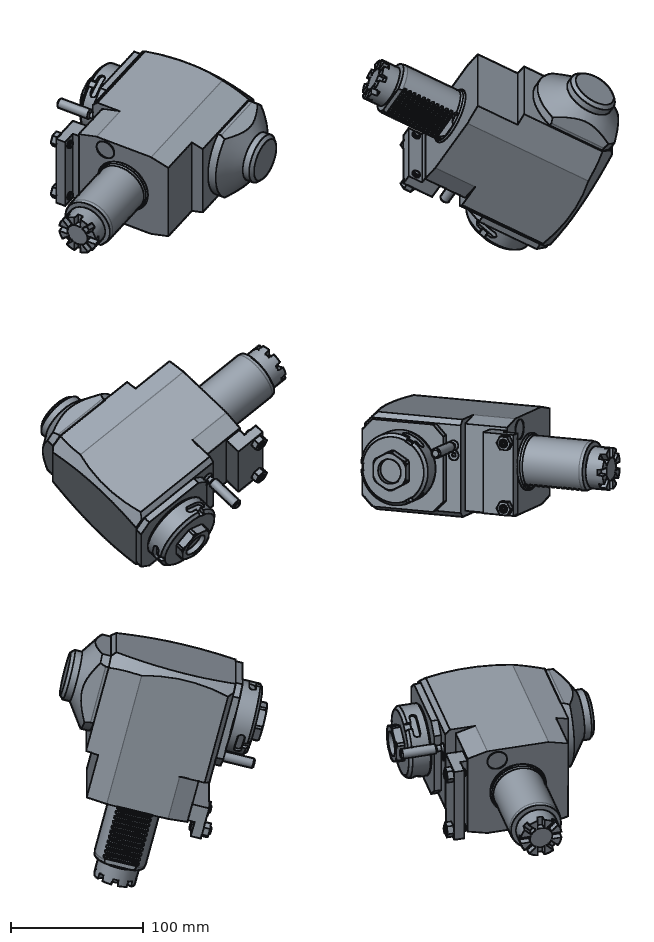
import cadquery as cq
import math


HALF_HEIGHT = 37.5
BACK_Y = 113.8
STEP_Y = 34.8
FRONT_HALF_WIDTH = 39.1
LEFT_X = -47.3
RIGHT_X = 48.6
TAPER_START = 23.8
TAPER = math.tan(math.radians(15))
LEFT_CHAMFER = 3.8
RIGHT_CHAMFER = 3.3
TURNING_X = -9.8
TURNING_RADIUS = 127.4
TURNING_CREST_Y = 110.0
MARK_X = -16.0
MARK_Z = 27.7
MARK_RADIUS = 7.6
MARK_DEPTH = 0.5

SPINDLE_Y = 80.0
PLATE_SIDE = 67.0
PLATE_CORNER = 8.4
PLATE_X = -52.8
CHUCK_RADIUS = 27.7
CHUCK_BACK_X = -53.7
CHUCK_FRONT_X = -70.3
CHUCK_BEVEL = 2.4
CHUCK_NECK_RADIUS = 26.8
WRENCH_SLOT_X = -62.2
WRENCH_SLOT_WIDTH = 5.5
WRENCH_SLOT_LENGTH = 18.7
WRENCH_SLOT_DEPTH = 4.0
WRENCH_NOTCH_WIDTH = 5.5
WRENCH_NOTCH_DEPTH = 3.0
HEX_FLATS = 27.0
HEX_FRONT_X = -77.0
HEX_CORNER_RADIUS = 15.0
HEX_BEVEL = 1.0
HEX_BORE_RADIUS = 9.5
HEX_BORE_DEPTH = 4.5

PIN_Y = 40.5
PIN_Z = 17.8
PIN_RADIUS = 3.8
PIN_TIP_X = -80.5
PIN_BACK_X = -52.6
PIN_BEVEL = 1.1
PIN_NECK_RADIUS = 2.4
BALL_RADIUS = 4.2
BALL_X = LEFT_X + 1.6
PLUG_Z = 10.4
PLUG_RADIUS = 4.0
PLUG_RECESS = 0.4
PLUG_BORE_RADIUS = 1.5
PLUG_BORE_DEPTH = 1.8

CAP_RADIUS = HALF_HEIGHT
CAP_CONE_X = 55.3
CAP_HUB_X = 68.2
CAP_END_X = 76.5
CAP_HUB_RADIUS = 19.3
CAP_HUB_BEVEL = 2.7
CAP_HALF_HEIGHT = 29.7
CAP_BACK_FLAT = 29.8
CAP_TAPER_X = 51.1

COLLAR_RADIUS = 21.8
COLLAR_EDGE_RADIUS = 20.7
COLLAR_LENGTH = 2.0
SHANK_RADIUS = 20.0
SHANK_START = 3.8
SHANK_END = 53.1
SHANK_BEVEL_LENGTH = 3.0
SHANK_BEVEL_DEPTH = 0.5
NECK_RADIUS = 13.0
COLLET_START = 54.2
TOTAL_LENGTH = 182.0
COLLET_END = TOTAL_LENGTH - BACK_Y
COLLET_RADIUS = 16.0
RACK_FLAT_Z = -15.8
RACK_FLAT_END = 2.2
RACK_PITCH = 4.0
RACK_DEPTH = 1.3
RACK_MOUTH = 3.3
RACK_FLOOR = 1.5
RACK_GROOVES = 12
RACK_LAST_GROOVE = 47.9
COLLET_SLOTS = 8
COLLET_SLOT_DEPTH = 4.5
COLLET_SLOT_MOUTH = 5.1
COLLET_SLOT_FLOOR = 4.0
COLLET_CORE_RADIUS = 8.7

BRACKET_X = -52.5
BRACKET_ARM_X = -44.5
BRACKET_HALF_HEIGHT = 31.1
BRACKET_BACK_Y = 13.8
BRACKET_INNER_Y = 0.5
BRACKET_FRONT_Y = -11.1
SCREW_Y = -5.1
SCREW_Z = 25.1
SCREW_RADIUS = 3.1
SCREW_BEVEL = 0.7
SCREW_FRONT_X = -58.6
SCREW_BACK_X = -42.4
SCREW_SOCKET_FLATS = 3.0
SCREW_SOCKET_DEPTH = 2.2
NUT_FLATS = 10.0
NUT_FRONT_X = -57.3


def cylinder_x(radius, x_start, x_end, y, z):
    """Cylinder along X."""
    plane = cq.Workplane("YZ", origin=(x_start, y, z))
    return plane.circle(radius).extrude(x_end - x_start)


def hexagon_x(flats, x_start, x_end, y, z, turn):
    """Hexagonal prism along X; a turn of 0 puts corners on the Y axis."""
    plane = cq.Workplane("YZ", origin=(x_start, y, z))
    corners = flats / math.cos(math.pi / 6)
    prism = plane.polygon(6, corners).extrude(x_end - x_start)
    return prism.rotate((0, y, z), (1, y, z), turn)


def revolve_x(profile, y, z):
    """Turn a closed (x, radius) outline about the X-parallel line through y, z."""
    plane = cq.Workplane("XY", origin=(0, y, z))
    return plane.polyline(profile).close().revolve(360, (0, 0, 0), (1, 0, 0))


def prism_y(outline, y_start, y_end):
    """Extrude a closed (x, z) outline along Y."""
    plane = cq.Workplane("XZ", origin=(0, y_start, 0))
    return plane.polyline(outline).close().extrude(y_start - y_end)


def turned_bevel():
    """Double cone about a Z axis that rounds the rear of the housing at 45 degrees."""
    axis_y = TURNING_CREST_Y - TURNING_RADIUS
    waist = TURNING_RADIUS + HALF_HEIGHT
    profile = [(0, -HALF_HEIGHT), (TURNING_RADIUS, -HALF_HEIGHT), (waist, 0),
               (TURNING_RADIUS, HALF_HEIGHT), (0, HALF_HEIGHT)]
    plane = cq.Workplane("XZ", origin=(TURNING_X, axis_y, 0))
    return plane.polyline(profile).close().revolve(360, (0, 0, 0), (0, 1, 0))


def housing():
    front_top = HALF_HEIGHT - (FRONT_HALF_WIDTH - TAPER_START) * TAPER
    front = prism_y([
        (-FRONT_HALF_WIDTH, -front_top), (-TAPER_START, -HALF_HEIGHT),
        (TAPER_START, -HALF_HEIGHT), (FRONT_HALF_WIDTH, -front_top),
        (FRONT_HALF_WIDTH, front_top), (TAPER_START, HALF_HEIGHT),
        (-TAPER_START, HALF_HEIGHT), (-FRONT_HALF_WIDTH, front_top),
    ], 0, STEP_Y)

    left_top = HALF_HEIGHT - LEFT_CHAMFER
    right_top = HALF_HEIGHT - (RIGHT_X - TAPER_START) * TAPER
    rear = prism_y([
        (LEFT_X, -left_top), (LEFT_X + LEFT_CHAMFER, -HALF_HEIGHT),
        (TAPER_START, -HALF_HEIGHT), (RIGHT_X, -right_top),
        (RIGHT_X, right_top), (TAPER_START, HALF_HEIGHT),
        (LEFT_X + LEFT_CHAMFER, HALF_HEIGHT), (LEFT_X, left_top),
    ], STEP_Y, BACK_Y)
    rear = rear.edges(cq.selectors.NearestToPointSelector((RIGHT_X, BACK_Y, 0))).chamfer(RIGHT_CHAMFER)

    mark = cq.Workplane("XZ", origin=(MARK_X, 0, MARK_Z)).circle(MARK_RADIUS).extrude(-MARK_DEPTH)
    return front.union(rear.intersect(turned_bevel())).cut(mark)


def plate():
    block = cq.Workplane("YZ", origin=(PLATE_X, SPINDLE_Y, 0)).rect(PLATE_SIDE, PLATE_SIDE)
    return block.extrude(LEFT_X - PLATE_X).edges("|X").chamfer(PLATE_CORNER)


def wrench_slot(angle):
    """Oval pocket in the chuck rim, opened to the front by a narrow notch."""
    floor = CHUCK_RADIUS - WRENCH_SLOT_DEPTH
    oval = cq.Workplane("XY", origin=(WRENCH_SLOT_X, 0, floor))
    oval = oval.slot2D(WRENCH_SLOT_LENGTH, WRENCH_SLOT_WIDTH, 90).extrude(CHUCK_RADIUS)
    notch_length = WRENCH_SLOT_X - CHUCK_FRONT_X
    notch = cq.Workplane("XY").box(notch_length, WRENCH_NOTCH_WIDTH, CHUCK_RADIUS, (False, True, False))
    notch = notch.translate((CHUCK_FRONT_X, 0, CHUCK_RADIUS - WRENCH_NOTCH_DEPTH))
    cutter = oval.union(notch).rotate((0, 0, 0), (1, 0, 0), angle)
    return cutter.translate((0, SPINDLE_Y, 0))


def chuck():
    body = revolve_x([
        (PLATE_X, 0), (PLATE_X, CHUCK_NECK_RADIUS),
        (CHUCK_BACK_X, CHUCK_NECK_RADIUS), (CHUCK_BACK_X, CHUCK_RADIUS),
        (CHUCK_FRONT_X + CHUCK_BEVEL, CHUCK_RADIUS),
        (CHUCK_FRONT_X, CHUCK_RADIUS - CHUCK_BEVEL), (CHUCK_FRONT_X, 0),
    ], SPINDLE_Y, 0)
    for angle in (30, 150, 270):
        body = body.cut(wrench_slot(angle))
    nut = hexagon_x(HEX_FLATS, HEX_FRONT_X, CHUCK_FRONT_X, SPINDLE_Y, 0, 90)
    blank = cylinder_x(HEX_CORNER_RADIUS, HEX_FRONT_X, CHUCK_FRONT_X, SPINDLE_Y, 0)
    nut = nut.intersect(blank.faces("<X").chamfer(HEX_BEVEL))
    bore = cylinder_x(HEX_BORE_RADIUS, HEX_FRONT_X, HEX_FRONT_X + HEX_BORE_DEPTH, SPINDLE_Y, 0)
    return body.union(nut).cut(bore)


def coolant_pin():
    pin = revolve_x([
        (PIN_TIP_X, 0), (PIN_TIP_X, PIN_RADIUS - PIN_BEVEL),
        (PIN_TIP_X + PIN_BEVEL, PIN_RADIUS), (PIN_BACK_X - PIN_BEVEL, PIN_RADIUS),
        (PIN_BACK_X, PIN_NECK_RADIUS), (BALL_X, PIN_NECK_RADIUS), (BALL_X, 0),
    ], PIN_Y, PIN_Z)
    ball = cq.Workplane("XY", origin=(BALL_X, PIN_Y, PIN_Z)).sphere(BALL_RADIUS)
    return pin.union(ball)


def plug_recess():
    """Shallow seat of the coolant plug with the bore at its centre."""
    seat = cylinder_x(PLUG_RADIUS, LEFT_X, LEFT_X + PLUG_RECESS, PIN_Y, PLUG_Z)
    return seat.union(cylinder_x(PLUG_BORE_RADIUS, LEFT_X, LEFT_X + PLUG_BORE_DEPTH, PIN_Y, PLUG_Z))


def end_cap():
    cap = revolve_x([
        (RIGHT_X, 0), (RIGHT_X, CAP_RADIUS), (CAP_CONE_X, CAP_RADIUS),
        (CAP_HUB_X, CAP_HUB_RADIUS), (CAP_END_X - CAP_HUB_BEVEL, CAP_HUB_RADIUS),
        (CAP_END_X, CAP_HUB_RADIUS - CAP_HUB_BEVEL), (CAP_END_X, 0),
    ], SPINDLE_Y, 0)
    end_height = CAP_HALF_HEIGHT - (CAP_END_X - CAP_TAPER_X) * TAPER
    envelope = prism_y([
        (RIGHT_X, -CAP_HALF_HEIGHT), (CAP_TAPER_X, -CAP_HALF_HEIGHT),
        (CAP_END_X, -end_height), (CAP_END_X, end_height),
        (CAP_TAPER_X, CAP_HALF_HEIGHT), (RIGHT_X, CAP_HALF_HEIGHT),
    ], SPINDLE_Y - CAP_RADIUS, SPINDLE_Y + CAP_BACK_FLAT)
    return cap.intersect(envelope)


def rack_cutter():
    """Flat along the underside of the shank, with a row of trapezoidal grooves."""
    below = RACK_FLAT_Z - COLLAR_RADIUS
    run_out = RACK_FLAT_Z + SHANK_RADIUS
    flat = [(-SHANK_END, RACK_FLAT_Z), (-RACK_FLAT_END - run_out, RACK_FLAT_Z),
            (-RACK_FLAT_END, -SHANK_RADIUS), (-RACK_FLAT_END, below), (-SHANK_END, below)]
    side = cq.Workplane("YZ", origin=(-SHANK_RADIUS, 0, 0))
    cutter = side.polyline(flat).close().extrude(2 * SHANK_RADIUS)
    for index in range(RACK_GROOVES):
        y = -RACK_LAST_GROOVE + index * RACK_PITCH
        groove = [(y - RACK_MOUTH / 2, RACK_FLAT_Z), (y - RACK_FLOOR / 2, RACK_FLAT_Z + RACK_DEPTH),
                  (y + RACK_FLOOR / 2, RACK_FLAT_Z + RACK_DEPTH), (y + RACK_MOUTH / 2, RACK_FLAT_Z)]
        cutter = cutter.union(side.polyline(groove).close().extrude(2 * SHANK_RADIUS))
    return cutter


def collet_slot(angle):
    """Radial drive slot, wider at its mouth, in the end face of the collet nut."""
    floor = -COLLET_END + COLLET_SLOT_DEPTH
    section = [(-COLLET_SLOT_MOUTH / 2, -COLLET_END), (COLLET_SLOT_MOUTH / 2, -COLLET_END),
               (COLLET_SLOT_FLOOR / 2, floor), (-COLLET_SLOT_FLOOR / 2, floor)]
    slot = cq.Workplane("XY").polyline(section).close().extrude(2 * COLLET_RADIUS)
    return slot.rotate((0, 0, 0), (0, 1, 0), angle)


def shank():
    collar_mid = (COLLAR_RADIUS, -COLLAR_LENGTH / 2)
    profile = (
        cq.Workplane("XY")
        .lineTo(COLLAR_EDGE_RADIUS, 0)
        .threePointArc(collar_mid, (COLLAR_EDGE_RADIUS, -COLLAR_LENGTH))
        .lineTo(SHANK_RADIUS, -SHANK_START)
        .lineTo(SHANK_RADIUS, -SHANK_END + SHANK_BEVEL_LENGTH)
        .lineTo(SHANK_RADIUS - SHANK_BEVEL_DEPTH, -SHANK_END)
        .lineTo(NECK_RADIUS, -SHANK_END)
        .lineTo(NECK_RADIUS, -COLLET_START)
        .lineTo(0, -COLLET_START)
        .close()
    )
    body = profile.revolve(360, (0, 0, 0), (0, 1, 0)).cut(rack_cutter())

    collet = cq.Workplane("XZ", origin=(0, -COLLET_START, 0)).circle(COLLET_RADIUS)
    collet = collet.extrude(COLLET_END - COLLET_START)
    for index in range(COLLET_SLOTS):
        collet = collet.cut(collet_slot(index * 360 / COLLET_SLOTS))
    core = cq.Workplane("XZ", origin=(0, -COLLET_START, 0)).circle(COLLET_CORE_RADIUS)
    return body.union(collet).union(core.extrude(COLLET_END - COLLET_START))


def bracket():
    outline = [(-FRONT_HALF_WIDTH, BRACKET_BACK_Y), (BRACKET_X, BRACKET_BACK_Y),
               (BRACKET_X, BRACKET_FRONT_Y), (BRACKET_ARM_X, BRACKET_FRONT_Y),
               (BRACKET_ARM_X, BRACKET_INNER_Y), (-FRONT_HALF_WIDTH, BRACKET_INNER_Y)]
    plane = cq.Workplane("XY", origin=(0, 0, -BRACKET_HALF_HEIGHT))
    return plane.polyline(outline).close().extrude(2 * BRACKET_HALF_HEIGHT)


def set_screw(z):
    """Set screw through the bracket, with its lock nut and hexagon socket."""
    screw = cylinder_x(SCREW_RADIUS, SCREW_FRONT_X, SCREW_BACK_X, SCREW_Y, z)
    screw = screw.faces("<X or >X").chamfer(SCREW_BEVEL)
    nut = hexagon_x(NUT_FLATS, NUT_FRONT_X, BRACKET_X, SCREW_Y, z, 0)
    socket_end = SCREW_FRONT_X + SCREW_SOCKET_DEPTH
    socket = hexagon_x(SCREW_SOCKET_FLATS, SCREW_FRONT_X, socket_end, SCREW_Y, z, 0)
    return screw.union(nut).cut(socket)


result = housing().cut(plug_recess())
for feature in (plate(), chuck(), coolant_pin(), end_cap(), shank(), bracket()):
    result = result.union(feature)
for screw_z in (-SCREW_Z, SCREW_Z):
    result = result.union(set_screw(screw_z))